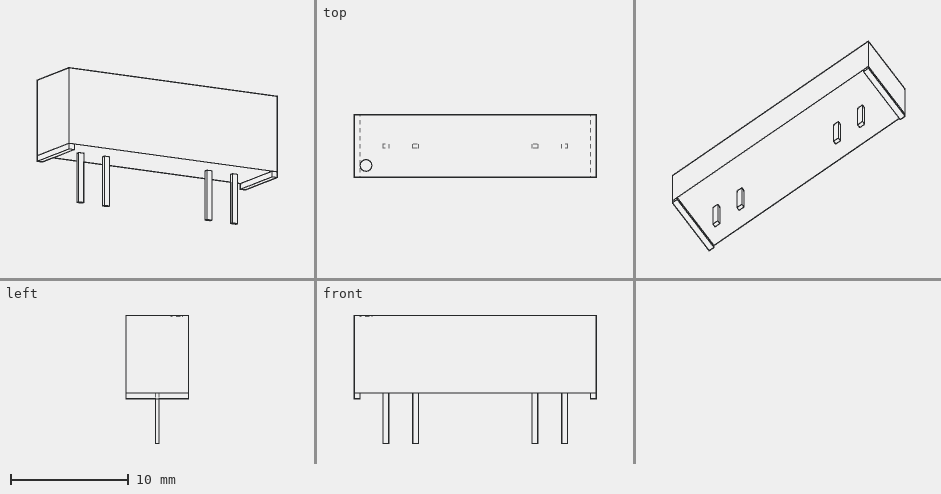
import cadquery as cq

length = 20.57
width = 5.33
housing_height = 6.6

foot_length = 0.51
foot_height = 0.5

total_height = 10.9
pin_length = total_height - housing_height
pin_width = 0.51
pin_thickness = 0.3
pin_pitch = 2.53
pin_steps = (-3, -2, 2, 3)

marker_radius = 0.5
marker_depth = 0.1
marker_edge_distance = 1.0
marker_x = marker_edge_distance - length / 2
marker_y = marker_edge_distance - width / 2


def block_below(size_x, size_y, height, center_x):
    """Block hanging from the housing underside at z = 0."""
    return (
        cq.Workplane("XY")
        .center(center_x, 0)
        .rect(size_x, size_y)
        .extrude(-height)
    )


def make_marker():
    return (
        cq.Workplane("XY", origin=(marker_x, marker_y, housing_height))
        .circle(marker_radius)
        .extrude(-marker_depth)
    )


def make_housing():
    """Plain block with a recess that holds the marker."""
    block = cq.Workplane("XY").rect(length, width).extrude(housing_height)
    return block.cut(make_marker())


def make_foot(side):
    return block_below(foot_length, width, foot_height, side * (length - foot_length) / 2)


def make_pin(step):
    return block_below(pin_width, pin_thickness, pin_length, step * pin_pitch)


housing = make_housing()
marker = make_marker()
feet = [make_foot(side) for side in (-1, 1)]
pins = [make_pin(step) for step in pin_steps]

result = cq.Compound.makeCompound(
    [body.val() for body in [housing, marker, *feet, *pins]]
)